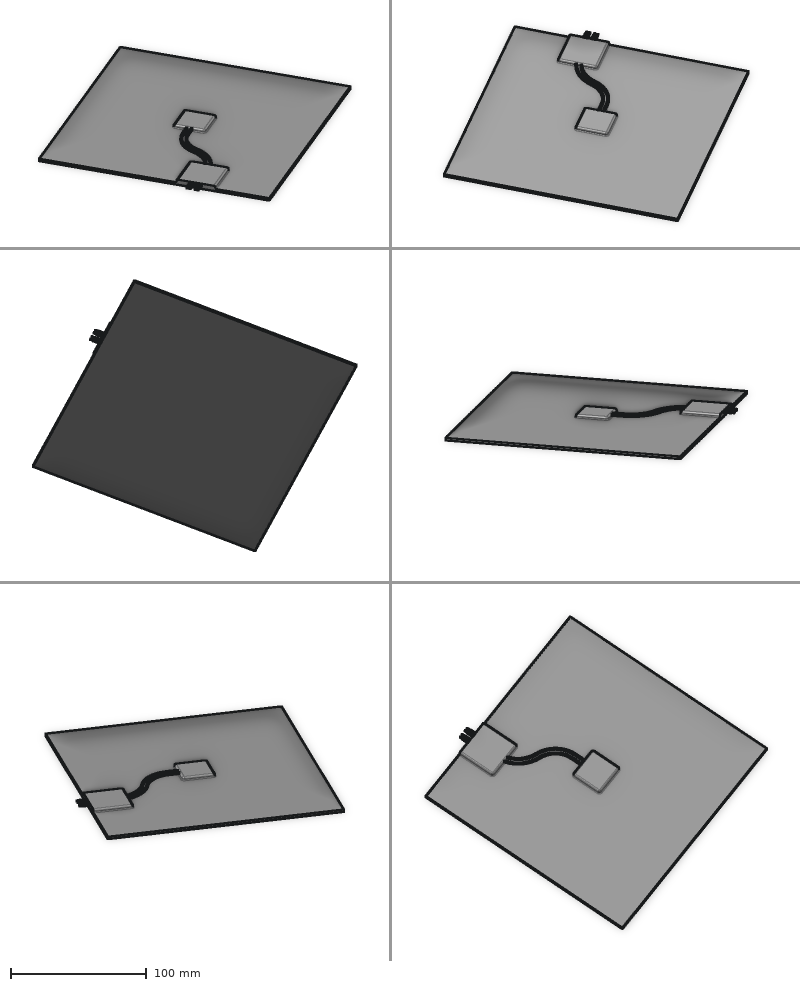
import cadquery as cq
import math

plate_side = 180.0
plate_thickness = 2.0
overall_length = 187.5
total_height = 4.5
front_y = -plate_side / 2

housing_height = total_height - plate_thickness
rim_radius = 1.5
foot_radius = 0.8
corner_radius = 1.7
pad_side = 25.1
box_width = 30.5
box_depth = 30.8
box_center_x = 32.6

wire_diameter = 1.5
wire_pitch = 3.8
wire_z = plate_thickness + housing_height / 2
cable_overlap = 1.9
straight_end_y = -20.5
bend_angle = math.radians(70)
first_bend_radius = 23.0
second_bend_radius = box_center_x / (1 - math.cos(bend_angle)) - first_bend_radius

conductor_diameter = 1.0
lead_reach = overall_length - plate_side
conductor_length = 2.5
lead_pair_pitch = 6.2
lead_pitch = 2.2
lead_overlap = 1.9


def rounded_block(width, depth, center_x, center_y):
    """Block on the plate with rounded upright edges and a rounded rim around its top."""
    return (
        cq.Workplane("XY", origin=(center_x, center_y, plate_thickness))
        .rect(width, depth)
        .extrude(housing_height)
        .edges("|Z")
        .fillet(corner_radius)
        .faces(">Z")
        .edges()
        .fillet(rim_radius)
    )


def connector_box():
    """Housing cut off flush with the front edge of the plate."""
    full = rounded_block(box_width, 2 * box_depth, box_center_x, front_y)
    rear_half = cq.Workplane("XY", origin=(box_center_x, front_y, 0)).box(
        box_width, box_depth, total_height, centered=(True, False, False)
    )
    return full.intersect(rear_half)


def cable_wire(offset):
    """Wire parallel to the cable centreline, shifted by offset in +X at its start."""
    first_radius = first_bend_radius - offset
    second_radius = second_bend_radius + offset
    first_center = (first_bend_radius, straight_end_y)
    centers_distance = first_bend_radius + second_bend_radius
    second_center = (
        first_center[0] - centers_distance * math.cos(bend_angle),
        first_center[1] - centers_distance * math.sin(bend_angle),
    )

    def on_first(angle):
        return (
            first_center[0] - first_radius * math.cos(angle),
            first_center[1] - first_radius * math.sin(angle),
        )

    def on_second(angle):
        return (
            second_center[0] + second_radius * math.cos(angle),
            second_center[1] + second_radius * math.sin(angle),
        )

    start_y = -pad_side / 2 + cable_overlap
    path = (
        cq.Workplane("XY", origin=(0, 0, wire_z))
        .moveTo(offset, start_y)
        .lineTo(offset, straight_end_y)
        .threePointArc(on_first(bend_angle / 2), on_first(bend_angle))
        .threePointArc(on_second(bend_angle / 2), on_second(0))
    )
    profile = cq.Workplane("XZ", origin=(offset, start_y, wire_z)).circle(wire_diameter / 2)
    return profile.sweep(path)


def lead(center_x):
    """Insulated lead with a thinner bare conductor at its tip."""
    start = cq.Workplane("XZ", origin=(center_x, front_y + lead_overlap, wire_z))
    conductor = start.circle(conductor_diameter / 2).extrude(lead_overlap + lead_reach)
    insulation = start.circle(wire_diameter / 2).extrude(lead_overlap + lead_reach - conductor_length)
    return insulation.union(conductor)


def base_with_housings():
    """Plate and both housings, with a concave fillet where the housings meet the plate."""
    plate = cq.Workplane("XY").box(
        plate_side, plate_side, plate_thickness, centered=(True, True, False)
    )
    body = plate.union(rounded_block(pad_side, pad_side, 0, 0)).union(connector_box())
    inside = plate_side / 2 - foot_radius
    foot_edges = cq.selectors.BoxSelector(
        (-inside, -inside, plate_thickness - foot_radius / 2),
        (inside, inside, plate_thickness + foot_radius / 8),
    )
    return body.edges(foot_edges).fillet(foot_radius)


result = base_with_housings()
for side in (-1, 1):
    result = result.union(cable_wire(side * wire_pitch / 2))
    pair_x = box_center_x + side * lead_pair_pitch / 2
    for lead_side in (-1, 1):
        result = result.union(lead(pair_x + lead_side * lead_pitch / 2))